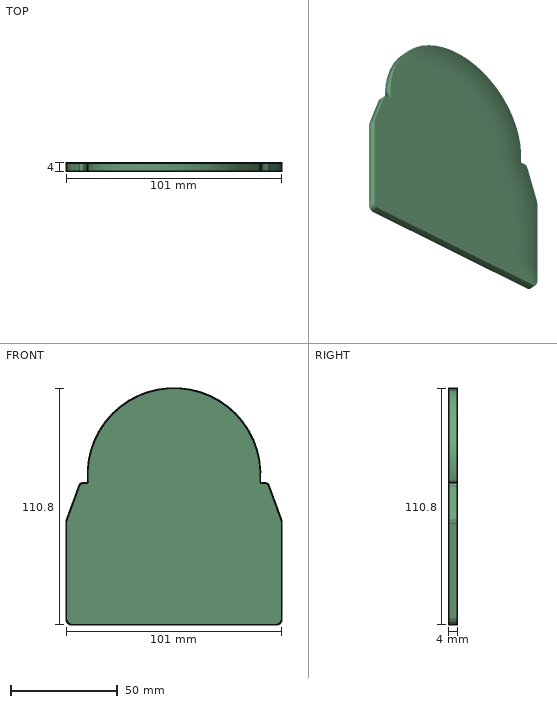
import cadquery as cq
import math

width = 101.0
height = 110.85
thickness = 4.0

dome_radius = 40.5
dome_center_z = height - dome_radius

shoulder_drop = 3.9
shoulder_z = dome_center_z - shoulder_drop
taper_height = 18.0
taper_start_z = shoulder_z - taper_height
taper_angle = 20.0

base_corner_radius = 3.0
taper_start_radius = 4.0
shoulder_outer_radius = 2.0
shoulder_inner_radius = 0.5

half_width = width / 2
taper_run = taper_height * math.tan(math.radians(taper_angle))
shoulder_half_width = half_width - taper_run
dome_foot_x = math.sqrt(dome_radius**2 - shoulder_drop**2)


def sharp_plate():
    """Plate with its base on Z = 0 and its front face on Y = 0, before rounding."""
    return (
        cq.Workplane("XZ")
        .moveTo(-half_width, 0)
        .lineTo(half_width, 0)
        .lineTo(half_width, taper_start_z)
        .lineTo(shoulder_half_width, shoulder_z)
        .lineTo(dome_foot_x, shoulder_z)
        .threePointArc((0, height), (-dome_foot_x, shoulder_z))
        .lineTo(-shoulder_half_width, shoulder_z)
        .lineTo(-half_width, taper_start_z)
        .close()
        .extrude(-thickness)
    )


def round_corner_pair(plate, x, z, radius):
    """Round the two through-thickness edges at (+x, z) and (-x, z)."""
    middle_y = thickness / 2
    for side in (-1, 1):
        nearest_edge = cq.selectors.NearestToPointSelector((side * x, middle_y, z))
        plate = plate.edges("|Y").edges(nearest_edge).fillet(radius)
    return plate


corners = (
    (half_width, 0, base_corner_radius),
    (half_width, taper_start_z, taper_start_radius),
    (shoulder_half_width, shoulder_z, shoulder_outer_radius),
    (dome_foot_x, shoulder_z, shoulder_inner_radius),
)

result = sharp_plate()
for corner_x, corner_z, corner_radius in corners:
    result = round_corner_pair(result, corner_x, corner_z, corner_radius)